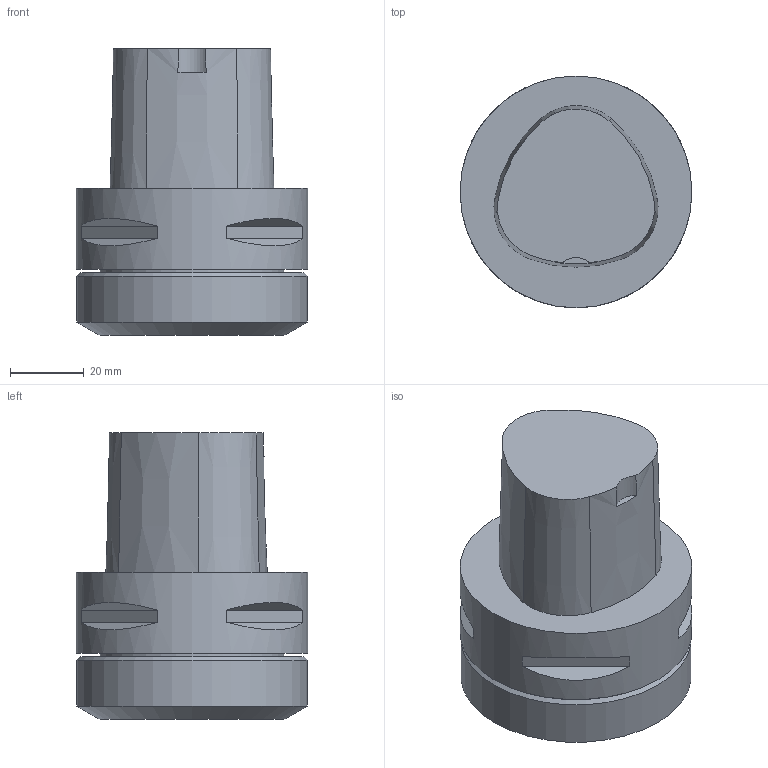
import math

import cadquery as cq

ring_diameter = 62.7
ring_bottom_diameter = 50.0
ring_chamfer_angle = 30.0
ring_top_chamfer = 1.0
ring_top_z = 17.1

neck_diameter = 50.0

flange_diameter = 63.0
flange_bottom_z = 18.0
flange_top_z = 40.0

groove_count = 4
groove_first_angle = 45.0
groove_z = 28.1
groove_floor_distance = 27.9
groove_floor_width = 3.3
groove_wall_angle = 30.0
groove_cut_margin = 1.0

shank_height = 38.0
shank_taper = math.degrees(math.atan(1 / 40))
lobe_count = 3
first_lobe_angle = 90.0
lobe_reach = 23.45
flat_reach = 20.45
lobe_center_distance = 8.6

notch_radius = 5.5
notch_floor_y = -17.9
notch_depth = 6.5


def polar(distance, angle):
    """Point at a distance from the axis, with the angle in degrees."""
    return distance * math.cos(math.radians(angle)), distance * math.sin(math.radians(angle))


def make_body():
    """Revolve the ring, neck and flange about the Z axis."""
    ring_radius = ring_diameter / 2
    bottom_radius = ring_bottom_diameter / 2
    neck_radius = neck_diameter / 2
    flange_radius = flange_diameter / 2
    bottom_chamfer_height = (ring_radius - bottom_radius) * math.tan(math.radians(ring_chamfer_angle))
    profile = [
        (0, 0),
        (bottom_radius, 0),
        (ring_radius, bottom_chamfer_height),
        (ring_radius, ring_top_z - ring_top_chamfer),
        (ring_radius - ring_top_chamfer, ring_top_z),
        (neck_radius, ring_top_z),
        (neck_radius, flange_bottom_z),
        (flange_radius, flange_bottom_z),
        (flange_radius, flange_top_z),
        (0, flange_top_z),
    ]
    return cq.Workplane("XZ").polyline(profile).close().revolve(360, (0, 0, 0), (0, 1, 0))


def make_groove(angle):
    """Straight groove with a flat floor and walls that open outward."""
    outer_distance = flange_diameter / 2 + groove_cut_margin
    floor_half_width = groove_floor_width / 2
    wall_rise = (outer_distance - groove_floor_distance) * math.tan(math.radians(groove_wall_angle))
    mouth_half_width = floor_half_width + wall_rise
    section = [
        (groove_floor_distance, groove_z - floor_half_width),
        (outer_distance, groove_z - mouth_half_width),
        (outer_distance, groove_z + mouth_half_width),
        (groove_floor_distance, groove_z + floor_half_width),
    ]
    groove = cq.Workplane("XZ").polyline(section).close().extrude(flange_diameter / 2, both=True)
    return groove.rotate((0, 0, 0), (0, 0, 1), angle)


def make_shank():
    """Three-lobed shank of tangent arcs: a tight arc on each lobe, a wide one on each side."""
    lobe_radius = lobe_reach - lobe_center_distance
    half_step = 180 / lobe_count

    reach_gap = flat_reach - lobe_radius
    center_cosine = math.cos(math.radians(half_step))
    side_center_distance = (lobe_center_distance**2 - reach_gap**2) / (
        2 * (reach_gap - lobe_center_distance * center_cosine)
    )

    normal_x = lobe_center_distance + side_center_distance * center_cosine
    normal_y = side_center_distance * math.sin(math.radians(half_step))
    normal_angle = math.atan2(normal_y, normal_x)
    joint_x = lobe_center_distance + lobe_radius * math.cos(normal_angle)
    joint_y = lobe_radius * math.sin(normal_angle)
    joint_distance = math.hypot(joint_x, joint_y)
    joint_angle = math.degrees(math.atan2(joint_y, joint_x))

    outline = cq.Workplane("XY", origin=(0, 0, flange_top_z))
    outline = outline.moveTo(*polar(joint_distance, first_lobe_angle - joint_angle))
    for index in range(lobe_count):
        lobe_angle = first_lobe_angle + index * 2 * half_step
        side_angle = lobe_angle + half_step
        next_lobe_angle = side_angle + half_step
        outline = outline.threePointArc(
            polar(lobe_reach, lobe_angle),
            polar(joint_distance, lobe_angle + joint_angle),
        )
        outline = outline.threePointArc(
            polar(flat_reach, side_angle),
            polar(joint_distance, next_lobe_angle - joint_angle),
        )
    return outline.close().extrude(shank_height, taper=shank_taper)


def make_notch():
    """Upright cylinder that scoops the notch out of the shank's top edge."""
    shank_top_z = flange_top_z + shank_height
    notch_plane = cq.Workplane("XY", origin=(0, notch_floor_y - notch_radius, shank_top_z))
    return notch_plane.circle(notch_radius).extrude(-notch_depth)


body = make_body()
for groove_index in range(groove_count):
    body = body.cut(make_groove(groove_first_angle + groove_index * 360 / groove_count))

shank = make_shank().cut(make_notch())

result = body.union(shank)